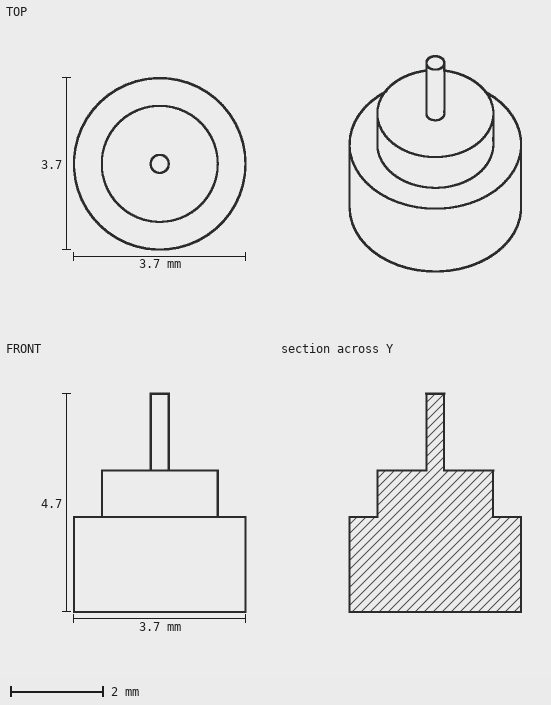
import cadquery as cq

total_height = 4.7
base_diameter = 3.7
base_height = 2.05
collar_diameter = 2.5
collar_height = 1.0
insert_diameter = 1.95
pin_diameter = 0.39

collar_top = base_height + collar_height
pin_length = total_height - collar_top


def cylinder(diameter, height, bottom):
    """Upright cylinder on the Z axis, starting at the given height."""
    return cq.Workplane("XY").workplane(offset=bottom).circle(diameter / 2).extrude(height)


base = cylinder(base_diameter, base_height, 0)
collar = cylinder(collar_diameter, collar_height, base_height)
insert = cylinder(insert_diameter, collar_height, base_height)
shell = base.union(collar).cut(insert)

pin = cylinder(pin_diameter, pin_length, collar_top)
insert_with_pin = insert.union(pin)

result = shell.union(insert_with_pin, clean=False)